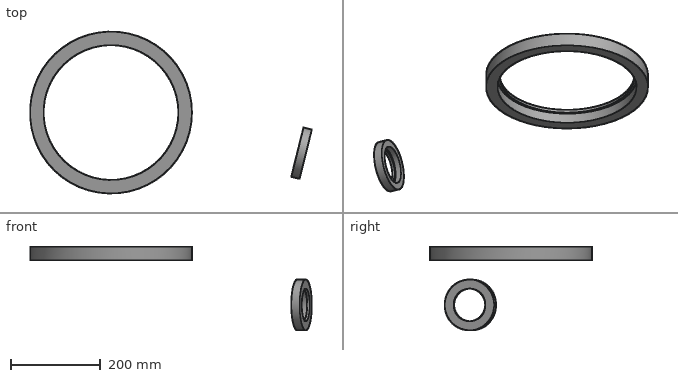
import cadquery as cq
import math

LARGE_OUTER_DIAMETER = 361.5
LARGE_BORE_DIAMETER = 300.0
LARGE_HEIGHT = 31.0
LARGE_RECESS_DIAMETER = 310.0
LARGE_LIP_HEIGHT = 7.5

SMALL_OUTER_DIAMETER = 114.0
SMALL_RECESS_DIAMETER = 83.0
SMALL_BORE_DIAMETER = 72.0
SMALL_WIDTH = 19.5
SMALL_RECESS_DEPTH = 13.0
SMALL_TURN = -14.0

OVERALL_LENGTH = 628.5
OVERALL_HEIGHT = 187.0

turn = math.radians(SMALL_TURN)
small_half_length = (SMALL_WIDTH * math.cos(turn) + SMALL_OUTER_DIAMETER * abs(math.sin(turn))) / 2
SMALL_CENTRE_X = OVERALL_LENGTH - LARGE_OUTER_DIAMETER / 2 - small_half_length
SMALL_CENTRE_Y = -90.5
SMALL_CENTRE_Z = LARGE_HEIGHT - OVERALL_HEIGHT + SMALL_OUTER_DIAMETER / 2


def stepped_ring(plane, outer_diameter, bore_diameter, width, recess_diameter, recess_depth):
    """Ring along the plane normal, its bore widened from the starting face."""
    ring = cq.Workplane(plane).circle(outer_diameter / 2).circle(bore_diameter / 2).extrude(width)
    recess = cq.Workplane(plane).circle(recess_diameter / 2).extrude(recess_depth)
    return ring.cut(recess)


def make_large_ring():
    """Flat ring with a narrow lip at the top of its bore."""
    return stepped_ring(
        cq.Plane.XY(),
        LARGE_OUTER_DIAMETER,
        LARGE_BORE_DIAMETER,
        LARGE_HEIGHT,
        LARGE_RECESS_DIAMETER,
        LARGE_HEIGHT - LARGE_LIP_HEIGHT,
    )


def make_small_ring():
    """Upright ring, recessed from its -X face."""
    axis = cq.Vector(math.cos(turn), math.sin(turn), 0)
    centre = cq.Vector(SMALL_CENTRE_X, SMALL_CENTRE_Y, SMALL_CENTRE_Z)
    start_face = cq.Plane(
        origin=centre - axis * (SMALL_WIDTH / 2),
        xDir=cq.Vector(math.sin(turn), -math.cos(turn), 0),
        normal=axis,
    )
    return stepped_ring(
        start_face,
        SMALL_OUTER_DIAMETER,
        SMALL_BORE_DIAMETER,
        SMALL_WIDTH,
        SMALL_RECESS_DIAMETER,
        SMALL_RECESS_DEPTH,
    )


large_ring = make_large_ring()
small_ring = make_small_ring()

result = cq.Compound.makeCompound([large_ring.val(), small_ring.val()])